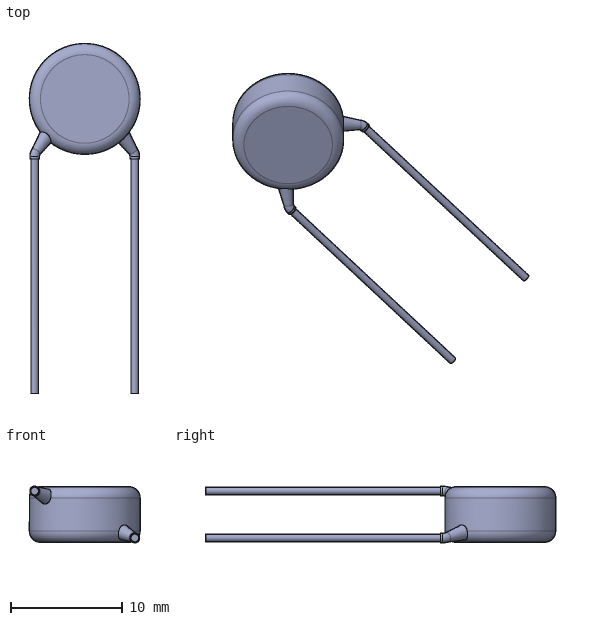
import cadquery as cq
import math

overall_length = 31.5
disc_diameter = 10.0
disc_height = 5.0
disc_edge_radius = 1.0
disc_radius = disc_diameter / 2

lead_diameter = 0.7
lead_offset_x = 4.5
lead_offset_z = 2.1
lead_tip_y = disc_radius - overall_length

collar_radius = 0.45
collar_length = 0.2
collar_end_y = -5.4
bend_radius = 0.8
bend_angle = 37.0
bend_tilt = 25.0
cone_length = 2.52
cone_root_radius = 0.82

collar_start_y = collar_end_y + collar_length
collar_start = cq.Vector(-lead_offset_x, collar_start_y, lead_offset_z)

tilt = math.radians(bend_tilt)
turn = math.radians(bend_angle)
along_lead = cq.Vector(0, 1, 0)
inward = cq.Vector(math.cos(tilt), 0, -math.sin(tilt))
cone_direction = along_lead * math.cos(turn) + inward * math.sin(turn)


def bend_point(angle):
    """Point on the bend centreline after turning through the given angle."""
    return (
        collar_start
        + along_lead * (bend_radius * math.sin(angle))
        + inward * (bend_radius * (1 - math.cos(angle)))
    )


def turn_over(shape):
    """Half turn about Y, from the upper left lead to the lower right one."""
    return shape.rotate((0, 0, 0), (0, 1, 0), 180)


def make_sleeve():
    """Upper left sleeve, without the hole for its lead."""
    collar = cq.Solid.makeCylinder(collar_radius, collar_length, collar_start, along_lead * -1)

    centreline = cq.Edge.makeThreePointArc(collar_start, bend_point(turn / 2), bend_point(turn))
    bend_profile = cq.Workplane(cq.Plane(collar_start, inward, along_lead)).circle(collar_radius)
    bend = bend_profile.sweep(cq.Workplane(obj=centreline))

    cone = cq.Solid.makeCone(
        collar_radius, cone_root_radius, cone_length, bend_point(turn), cone_direction
    )
    return bend.union(cq.Workplane(obj=collar)).union(cq.Workplane(obj=cone))


def make_lead():
    """Upper left lead, seated in the collar up to the start of the bend."""
    lead_length = collar_start_y - lead_tip_y
    lead = cq.Solid.makeCylinder(lead_diameter / 2, lead_length, collar_start, along_lead * -1)
    return cq.Workplane(obj=lead)


def make_housing(leads):
    """Rounded disc with both sleeves, bored to take the leads."""
    housing = cq.Workplane("XY").cylinder(disc_height, disc_radius)
    housing = housing.faces("|Z").edges().fillet(disc_edge_radius)

    sleeve = make_sleeve()
    for placed_sleeve in (sleeve, turn_over(sleeve)):
        housing = housing.union(placed_sleeve)
    for lead in leads:
        housing = housing.cut(lead)
    return housing


upper_lead = make_lead()
leads = [upper_lead, turn_over(upper_lead)]
housing = make_housing(leads)

result = cq.Compound.makeCompound([housing.val(), *[lead.val() for lead in leads]])